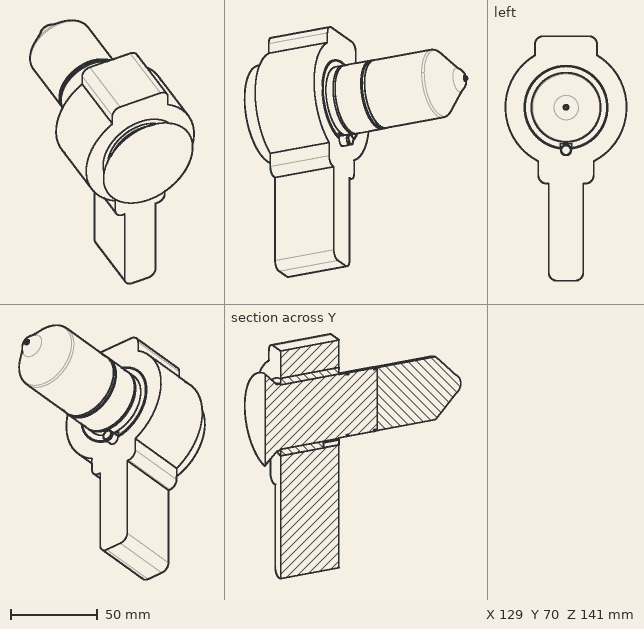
import cadquery as cq
import math


housing_thickness = 38.0
housing_diameter = 70.0
overall_height = 141.0
top_tab_width = 36.0
top_tab_height = 41.0
lower_tab_width = 32.0
lower_tab_depth = 44.0
handle_width = 20.0
handle_depth = overall_height - top_tab_height
tab_corner_radius = 5.0

bushing_diameter = 48.1
bushing_radius = bushing_diameter / 2
bushing_chamfer = 0.5
keyway_width = 6.8
keyway_floor_radius = 20.9

barrel_diameter = 40.0
barrel_reach = 25.0
neck_diameter = 42.0
neck_length = 2.1
flange_length = 10.0
flange_rim_diameter = neck_diameter + 2 * (flange_length - neck_length)

ring_inner_diameter = 38.0
front_ring_reach = 23.4
front_ring_width = 0.8
rear_ring_reach = 5.9
rear_ring_width = 1.3
rings = [(front_ring_reach, front_ring_width), (rear_ring_reach, rear_ring_width)]

nose_diameter = 39.8
shoulder_reach = 62.5
shoulder_radius = 2.0
dome_base_diameter = 14.1
dome_sphere_diameter = 15.7
dome_base_reach = shoulder_reach + (nose_diameter - dome_base_diameter) / 2

needle_diameter = 2.0
needle_chamfer = 0.21
needle_reach = 81.0
collar_diameter = 3.0
collar_reach = 80.0
collar_seat_reach = 77.1

pin_diameter = 6.0
pin_offset = 24.7
pin_depth = 10.0
pin_cap_reach = rear_ring_reach
pin_cap_length = rear_ring_width
pin_stem_reach = pin_cap_reach - pin_cap_length
pin_point_diameter = 5.4
pin_point_length = 2.1


def cylinder(diameter, x_start, x_end, z=0.0):
    """Cylinder parallel to X, its axis at height z."""
    profile = cq.Workplane("YZ", origin=(x_start, 0, z)).circle(diameter / 2)
    return profile.extrude(x_end - x_start)


def cone(start_diameter, end_diameter, x_start, x_end, z=0.0):
    """Cone parallel to X, its axis at height z."""
    base_center = cq.Vector(x_start, 0, z)
    length = x_end - x_start
    solid = cq.Solid.makeCone(start_diameter / 2, end_diameter / 2, length, base_center, cq.Vector(1, 0, 0))
    return cq.Workplane(solid)


def housing_bar(width, z_start, z_end, rounded_edges):
    """Bar as thick as the housing, with the two corners at one end rounded."""
    bar = cq.Workplane("XY").box(housing_thickness, width, z_end - z_start, centered=(False, True, False))
    bar = bar.edges(rounded_edges).fillet(tab_corner_radius)
    return bar.translate((0, 0, z_start))


def make_housing():
    """Round housing with a top tab, a lower tab and a handle, bored for the bushing and the pin."""
    body = cylinder(housing_diameter, 0, housing_thickness)
    body = body.union(housing_bar(top_tab_width, 0, top_tab_height, "|X and >Z"))
    body = body.union(housing_bar(lower_tab_width, -lower_tab_depth, 0, "|X and <Z"))
    body = body.union(housing_bar(handle_width, -handle_depth, 0, "|X and <Z"))
    body = body.cut(cylinder(bushing_diameter, 0, housing_thickness))
    return body.cut(cylinder(pin_diameter, 0, pin_depth, -pin_offset))


def make_bushing():
    """Sleeve with a chamfered front rim and a blind keyway that clears the pin."""
    body = cylinder(bushing_diameter, 0, housing_thickness).faces("<X").chamfer(bushing_chamfer)
    keyway_height = bushing_radius - keyway_floor_radius
    keyway = cq.Workplane("XY").box(pin_depth, keyway_width, keyway_height, centered=(False, True, False))
    body = body.cut(keyway.translate((0, 0, -bushing_radius)))
    return body.cut(cylinder(barrel_diameter, 0, housing_thickness))


def make_ring(reach, width):
    ring = cylinder(barrel_diameter, -reach, width - reach)
    return ring.cut(cylinder(ring_inner_diameter, -reach, width - reach))


def make_barrel():
    """Barrel with grooves for the rings and the flared flange at its rear end."""
    neck_end = housing_thickness + neck_length
    flange_end = housing_thickness + flange_length
    body = cylinder(barrel_diameter, -barrel_reach, housing_thickness)
    body = body.union(cylinder(neck_diameter, housing_thickness, neck_end))
    body = body.union(cone(neck_diameter, flange_rim_diameter, neck_end, flange_end))
    for reach, width in rings:
        body = body.cut(make_ring(reach, width))
    return body


def make_needle():
    collar = cylinder(collar_diameter, -collar_reach, -collar_seat_reach)
    tip = cylinder(needle_diameter, -needle_reach, -collar_reach).faces("<X").chamfer(needle_chamfer)
    return collar.union(tip)


def make_dome():
    """Spherical cap standing on the small end of the cone."""
    sphere_radius = dome_sphere_diameter / 2
    base_radius = dome_base_diameter / 2
    apex_x = math.sqrt(sphere_radius**2 - base_radius**2) - sphere_radius - dome_base_reach
    profile = cq.Workplane("XZ").moveTo(-dome_base_reach, 0).lineTo(apex_x, 0)
    profile = profile.radiusArc((-dome_base_reach, base_radius), sphere_radius).close()
    return profile.revolve(360, (0, 0, 0), (1, 0, 0))


def make_nose():
    """Cylinder, rounded shoulder, cone and dome in one body, with a socket for the needle."""
    body = cylinder(nose_diameter, -shoulder_reach, -barrel_reach)
    body = body.union(cone(dome_base_diameter, nose_diameter, -dome_base_reach, -shoulder_reach))
    shoulder = cq.selectors.NearestToPointSelector((-shoulder_reach, 0, 0))
    body = body.edges("%CIRCLE").edges(shoulder).fillet(shoulder_radius)
    return body.union(make_dome()).cut(make_needle())


def make_pin_stem():
    return cylinder(pin_diameter, -pin_stem_reach, pin_depth, -pin_offset)


def make_pin_cap():
    """Short disc on the end of the stem, with a conical point."""
    disc = cylinder(pin_diameter, -pin_cap_reach, -pin_stem_reach, -pin_offset)
    point_reach = pin_cap_reach + pin_point_length
    point = cone(0, pin_point_diameter, -point_reach, -pin_cap_reach, -pin_offset)
    return disc.union(point)


housing = make_housing()
bushing = make_bushing()
barrel = make_barrel()
barrel_rings = [make_ring(reach, width) for reach, width in rings]
nose = make_nose()
needle = make_needle()
pin_stem = make_pin_stem()
pin_cap = make_pin_cap()

result = cq.Compound.makeCompound(
    [
        housing.val(),
        bushing.val(),
        barrel.val(),
        *[ring.val() for ring in barrel_rings],
        nose.val(),
        needle.val(),
        pin_stem.val(),
        pin_cap.val(),
    ]
)